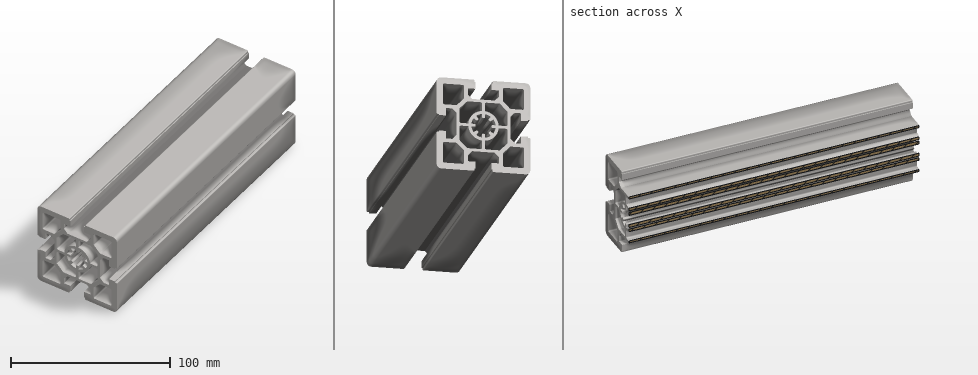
import cadquery as cq

length = 200.0
side = 60.0
corner_radius = 3.0

mouth_width = 10.2
step_width = 11.5
step_depth = 1.5
lip_radius = 0.5
lip_thickness = 6.0
slot_width = 20.0
slot_floor = 17.2
slot_chamfer = 2.8

outer_wall = 4.0
pocket_inner = 12.5
pocket_chamfer = 4.8
pocket_radius = 1.0
pocket_bend_radius = 0.8

core_half = 15.5
core_chamfer = 5.0
tube_outer_radius = 9.8
tube_inner_radius = 7.8
spoke_foot_radius = 1.0
rib_tip_radius = 5.2
straight_rib_width = 1.8
diagonal_root_width = 3.2
diagonal_tip_width = 1.5
rib_edge_radius = 0.5

half_side = side / 2
half_length = length / 2
quarter_turns = (0, 90, 180, 270)
eighth_turn = 45


def profile_plane():
    """Cross-section plane at the front end; extruding runs toward +Y."""
    return cq.Workplane("XZ", origin=(0, -half_length, 0))


def extrude_profile(sketch):
    return sketch.extrude(-length)


def turned(body, angle):
    return body.rotate((0, 0, 0), (0, 1, 0), angle)


def make_slot():
    """T-slot open toward +Z, its mouth stepped wider and rounded at the outer face."""
    half_mouth = mouth_width / 2
    half_step = step_width / 2
    half_slot = slot_width / 2
    lip_bottom = half_side - lip_thickness
    return extrude_profile(
        profile_plane()
        .moveTo(-half_step - lip_radius, half_side)
        .radiusArc((-half_step, half_side - lip_radius), lip_radius)
        .lineTo(-half_step, half_side - step_depth)
        .lineTo(-half_mouth, half_side - step_depth)
        .lineTo(-half_mouth, lip_bottom)
        .lineTo(-half_slot, lip_bottom)
        .lineTo(-half_slot, slot_floor + slot_chamfer)
        .lineTo(-half_slot + slot_chamfer, slot_floor)
        .lineTo(half_slot - slot_chamfer, slot_floor)
        .lineTo(half_slot, slot_floor + slot_chamfer)
        .lineTo(half_slot, lip_bottom)
        .lineTo(half_mouth, lip_bottom)
        .lineTo(half_mouth, half_side - step_depth)
        .lineTo(half_step, half_side - step_depth)
        .lineTo(half_step, half_side - lip_radius)
        .radiusArc((half_step + lip_radius, half_side), lip_radius)
        .close()
    )


def make_pocket():
    """Square pocket in the +X +Z corner, cut off on the side facing the axis."""
    pocket_outer = half_side - outer_wall
    cut_end = pocket_inner + pocket_chamfer
    prism = extrude_profile(
        profile_plane()
        .moveTo(cut_end, pocket_inner)
        .lineTo(pocket_outer, pocket_inner)
        .lineTo(pocket_outer, pocket_outer)
        .lineTo(pocket_inner, pocket_outer)
        .lineTo(pocket_inner, cut_end)
        .close()
    )
    return (
        prism
        .edges("|Y and (not (>X or >Z))").fillet(pocket_bend_radius)
        .edges("|Y and (>X or >Z)").fillet(pocket_radius)
    )


def make_core_cell():
    """Quarter of the octagonal cavity, on the +X +Z side, rounded where the spokes meet the walls."""
    spoke_face = straight_rib_width / 2
    prism = extrude_profile(
        profile_plane()
        .moveTo(spoke_face, spoke_face)
        .lineTo(core_half, spoke_face)
        .lineTo(core_half, core_half - core_chamfer)
        .lineTo(core_half - core_chamfer, core_half)
        .lineTo(spoke_face, core_half)
        .close()
    )
    spoke_feet = "|Y and ((>X and <Z) or (<X and >Z))"
    return prism.edges(spoke_feet).fillet(spoke_foot_radius)


def make_rib(root_width, tip_width):
    """Radial rib along +X, from a root in the tube wall to a rounded tip."""
    rib = extrude_profile(
        profile_plane()
        .moveTo(tube_outer_radius, -root_width / 2)
        .lineTo(rib_tip_radius, -tip_width / 2)
        .lineTo(rib_tip_radius, tip_width / 2)
        .lineTo(tube_outer_radius, root_width / 2)
        .close()
    )
    return rib.edges("|Y and <X").fillet(rib_edge_radius)


def make_bore():
    """Void of the central bore, leaving eight ribs that point inward."""
    bore = extrude_profile(profile_plane().circle(tube_inner_radius))
    rib = make_rib(straight_rib_width, straight_rib_width)
    diagonal_rib = make_rib(diagonal_root_width, diagonal_tip_width)
    for angle in quarter_turns:
        bore = bore.cut(turned(rib, angle))
        bore = bore.cut(turned(diagonal_rib, angle + eighth_turn))
    return bore


body = extrude_profile(profile_plane().rect(side, side))
body = body.edges("|Y").fillet(corner_radius)

tube = extrude_profile(profile_plane().circle(tube_outer_radius))
slot = make_slot()
pocket = make_pocket()
core_cell = make_core_cell().cut(tube)
for angle in quarter_turns:
    for cutter in (slot, pocket, core_cell):
        body = body.cut(turned(cutter, angle))

result = body.cut(make_bore())